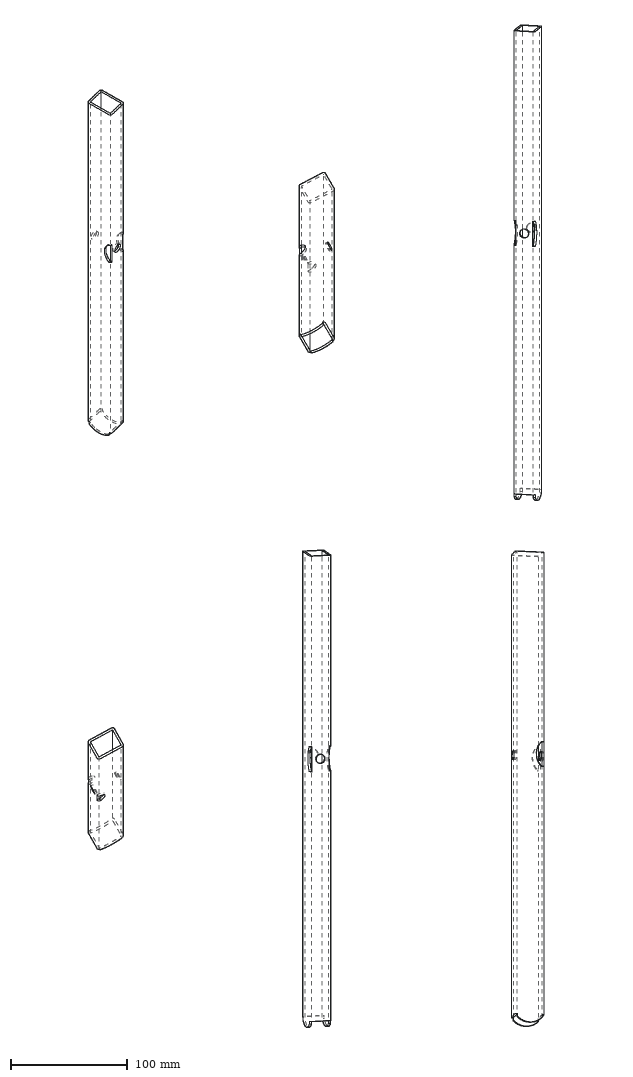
import cadquery as cq

length = 412.8
width = 25.5
depth = 19.0
wall = 2.0
corner_radius = wall

tongue_half_width = width / 2 - wall
tongue_straight = 2.5
tongue_rise = 4.5
tongue_length = tongue_straight + tongue_rise

feature_height = 235.5
hole_diameter = 8.0

inner_depth = depth - 2 * wall


def make_tube():
    outer = cq.Workplane("XY").rect(width, depth).extrude(length).edges("|Z").fillet(corner_radius)
    bore = cq.Workplane("XY").rect(width - 2 * wall, inner_depth).extrude(length)
    return outer.cut(bore)


def tongue_prism():
    """Tongue outline with its tip at the origin, pointing down, extruded through the depth."""
    return (
        cq.Workplane("XZ")
        .moveTo(-tongue_half_width, tongue_length)
        .lineTo(-tongue_half_width, tongue_rise)
        .threePointArc((0, 0), (tongue_half_width, tongue_rise))
        .lineTo(tongue_half_width, tongue_length)
        .close()
        .extrude(depth / 2, both=True)
    )


def end_cutter():
    """Everything below the side walls except the tongues."""
    end_block = cq.Workplane("XY").box(width, depth, tongue_length, centered=(True, True, False))
    return end_block.cut(tongue_prism())


def notch_cutter():
    """Tongue shape turned to enter from +X; the narrow +X wall stays whole between the broad walls."""
    notch = (
        tongue_prism()
        .rotate((0, 0, 0), (0, 1, 0), 90)
        .translate((width / 2 - tongue_length, 0, feature_height))
    )
    kept_wall = (
        cq.Workplane("XY")
        .box(width, inner_depth, 2 * width)
        .translate((0, 0, feature_height))
    )
    return notch.cut(kept_wall)


def hole_cutter():
    """Round hole along X through both narrow walls."""
    return (
        cq.Workplane("YZ")
        .center(0, feature_height)
        .circle(hole_diameter / 2)
        .extrude(width, both=True)
    )


result = make_tube().cut(end_cutter()).cut(notch_cutter()).cut(hole_cutter())